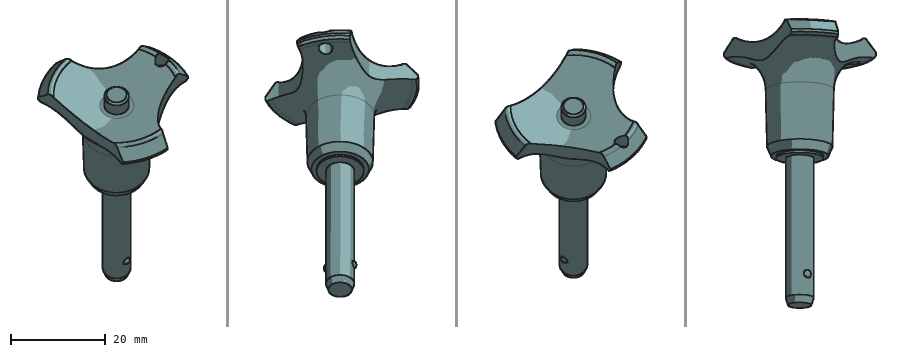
import cadquery as cq
import math

total_height = 58.7

shank_radius = 3.0
tip_radius = 2.45
tip_height = 1.6

ball_radius = 0.95
ball_reach = 3.5
ball_height = 6.2

collar_radius = 5.0
collar_bottom = 31.95
body_bottom = 32.4
body_bottom_radius = 6.05
body_shoulder = 34.4
body_shoulder_radius = 6.9
neck_height = 46.8
neck_radius = 7.2

flare_radius = 7.9
rim_radius = 16.6
rim_height = 55.9
rim_lower_edge = 55.3
rim_bottom_radius = 16.15
crest_outer_radius = 14.5
crest_radius = 13.9
crest_inner_radius = 13.25
crest_edge_height = 58.35

dish_radius = 25.25
seat_radius = 3.6
seat_height = crest_edge_height - (
    math.sqrt(dish_radius**2 - seat_radius**2)
    - math.sqrt(dish_radius**2 - crest_inner_radius**2)
)

button_radius = 2.6
button_top = 58.3
button_chamfer = 0.45

side_cut_radius = 14.75
side_cut_x = 20.2
side_cut_y = 12.9
front_cut_radius = 52.85
front_cut_offset = 9.2
cut_clearance = 0.6

hole_radius = 1.45
hole_y = 13.55


def make_handle():
    """Revolved body and grip, from the collar up to the crest of the dish."""
    flare_top = neck_height + flare_radius
    flare_end_radius = neck_radius + flare_radius
    flare_mid = flare_radius * math.sqrt(0.5)
    dish_mid_radius = (seat_radius + crest_inner_radius) / 2
    dish_center = seat_height + math.sqrt(dish_radius**2 - seat_radius**2)
    dish_mid_height = dish_center - math.sqrt(dish_radius**2 - dish_mid_radius**2)
    profile = (
        cq.Workplane("XZ")
        .moveTo(0, collar_bottom)
        .lineTo(collar_radius, collar_bottom)
        .lineTo(collar_radius, body_bottom)
        .lineTo(body_bottom_radius, body_bottom)
        .lineTo(body_shoulder_radius, body_shoulder)
        .lineTo(neck_radius, neck_height)
        .threePointArc(
            (flare_end_radius - flare_mid, neck_height + flare_mid),
            (flare_end_radius, flare_top),
        )
        .lineTo(rim_bottom_radius, flare_top)
        .lineTo(rim_radius, rim_lower_edge)
        .lineTo(rim_radius, rim_height)
        .lineTo(crest_outer_radius, crest_edge_height)
        .threePointArc((crest_radius, total_height), (crest_inner_radius, crest_edge_height))
        .threePointArc((dish_mid_radius, dish_mid_height), (seat_radius, seat_height))
        .lineTo(0, seat_height)
        .close()
    )
    return profile.revolve(360, (0, 0, 0), (0, 1, 0))


def vertical_cutter(x, y, radius):
    """Cylinder along Z that spans the grip and clears its crest."""
    return (
        cq.Workplane("XY", origin=(x, y, neck_height))
        .circle(radius)
        .extrude(total_height + cut_clearance - neck_height)
    )


def make_shank():
    half_section = (
        cq.Workplane("XZ")
        .polyline([
            (0, 0),
            (tip_radius, 0),
            (shank_radius, tip_height),
            (shank_radius, body_bottom),
            (0, body_bottom),
        ])
        .close()
    )
    shank = half_section.revolve(360, (0, 0, 0), (0, 1, 0))
    for side in (-1, 1):
        ball_x = side * (ball_reach - ball_radius)
        shank = shank.union(cq.Workplane("XY").sphere(ball_radius).translate((ball_x, 0, ball_height)))
    return shank


def make_button():
    return (
        cq.Workplane("XY", origin=(0, 0, neck_height))
        .circle(button_radius)
        .extrude(button_top - neck_height)
        .faces(">Z")
        .chamfer(button_chamfer)
    )


handle = make_handle()
for side in (-1, 1):
    handle = handle.cut(vertical_cutter(side * side_cut_x, side_cut_y, side_cut_radius))
handle = handle.cut(vertical_cutter(0, -front_cut_offset - front_cut_radius, front_cut_radius))
handle = handle.cut(vertical_cutter(0, hole_y, hole_radius))

result = handle.union(make_shank()).union(make_button())